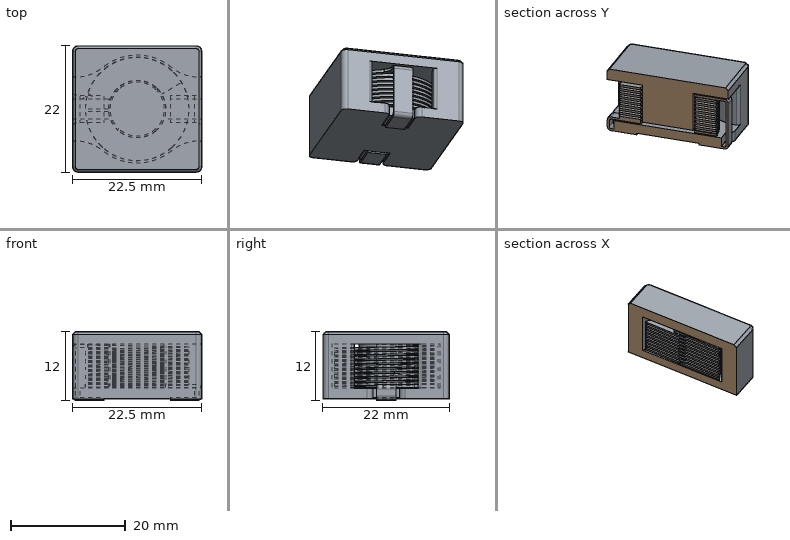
import cadquery as cq
import math

length_x = 22.5
width_y = 22.0
height = 12.0
corner_radius = 1.0
top_chamfer = 0.5
body_bottom = 0.3
base_top = 2.14

cavity_top = 9.8
cavity_radius = 9.4
opening_half_width = 5.54
opening_edge_radius = 0.5

post_diameter = 9.4
post_gap = 0.5

notch_half_width = 2.32
notch_depth = 1.25
notch_edge_radius = 1.0

wire_thickness = 0.5
roof_clearance = 0.07
floor_clearance = 0.11
coil_outer_radius = 9.0
coil_inner_radius = 5.0
coil_turns = 9
joint_overlap = 0.05
end_turn_tail = 0.45
terminal_width = 3.42
terminal_bend_radius = 0.79
lead_fillet_radius = 1.55
foot_length = 5.5

half_x = length_x / 2
coil_top = cavity_top - roof_clearance
coil_bottom = base_top + floor_clearance
end_turn_top = coil_bottom + wire_thickness
helix_start_top = end_turn_top + joint_overlap
helix_end_top = coil_top - joint_overlap
helix_height = helix_end_top - helix_start_top
end_turn_outer_radius = coil_outer_radius + joint_overlap
end_turn_inner_radius = coil_inner_radius - joint_overlap


def mirrored_in_x(shape):
    """The shape together with its mirror image on the other X side."""
    return shape.union(shape.mirror("YZ"))


def mid_arc_inset(radius):
    """Distance of a quarter arc's middle point from each of its two tangent lines."""
    return radius * (1 - math.sqrt(0.5))


def make_block():
    block = cq.Workplane("XY").workplane(offset=body_bottom).rect(length_x, width_y)
    block = block.extrude(height - body_bottom).edges("|Z").fillet(corner_radius)
    return block.faces(">Z").chamfer(top_chamfer)


def make_opening():
    """One -X opening, flaring towards the cavity and at the outer face."""
    edge_end = (-half_x + opening_edge_radius, opening_half_width)
    flare_radius = (edge_end[0] ** 2 + edge_end[1] ** 2 - cavity_radius ** 2) / (
        2 * (cavity_radius - opening_half_width)
    )
    flare_center_y = opening_half_width + flare_radius
    flare_center_x = edge_end[0]
    to_cavity = cavity_radius / (cavity_radius + flare_radius)
    flare_end = (flare_center_x * to_cavity, flare_center_y * to_cavity)
    toward_cavity = math.atan2(-flare_center_y, -flare_center_x)
    middle_angle = (toward_cavity - math.pi / 2) / 2
    flare_middle = (
        flare_center_x + flare_radius * math.cos(middle_angle),
        flare_center_y + flare_radius * math.sin(middle_angle),
    )
    edge_inset = mid_arc_inset(opening_edge_radius)
    edge_middle = (-half_x + edge_inset, opening_half_width + edge_inset)
    edge_start = (-half_x, opening_half_width + opening_edge_radius)

    def across(point):
        return (point[0], -point[1])

    outline = (
        cq.Workplane("XY").workplane(offset=base_top)
        .moveTo(*edge_start)
        .threePointArc(edge_middle, edge_end)
        .threePointArc(flare_middle, flare_end)
        .lineTo(*across(flare_end))
        .threePointArc(across(flare_middle), across(edge_end))
        .threePointArc(across(edge_middle), across(edge_start))
        .close()
    )
    return outline.extrude(cavity_top - base_top)


def make_cavity():
    round_part = cq.Workplane("XY").workplane(offset=base_top).circle(cavity_radius)
    round_part = round_part.extrude(cavity_top - base_top)
    return round_part.union(mirrored_in_x(make_opening()))


def make_post():
    post_bottom = base_top + post_gap
    post = cq.Workplane("XY").workplane(offset=post_bottom).circle(post_diameter / 2)
    return post.extrude(cavity_top - post_bottom)


def make_notch():
    """The -X notch through the base, and the shallow seat for the foot."""
    edge_start_y = notch_half_width + notch_edge_radius
    edge_inset = mid_arc_inset(notch_edge_radius)
    edge_middle = (-half_x + edge_inset, notch_half_width + edge_inset)
    edge_end_x = -half_x + notch_edge_radius
    notch_back_x = -half_x + notch_depth
    notch = (
        cq.Workplane("XY").workplane(offset=body_bottom)
        .moveTo(-half_x, edge_start_y)
        .threePointArc(edge_middle, (edge_end_x, notch_half_width))
        .lineTo(notch_back_x, notch_half_width)
        .lineTo(notch_back_x, -notch_half_width)
        .lineTo(edge_end_x, -notch_half_width)
        .threePointArc((edge_middle[0], -edge_middle[1]), (-half_x, -edge_start_y))
        .close()
        .extrude(base_top - body_bottom)
    )
    foot_seat = cq.Workplane("XY").box(
        foot_length, 2 * notch_half_width, wire_thickness, centered=(False, True, False)
    )
    return notch.union(foot_seat.translate((-half_x, 0, 0)))


def make_terminal(lead_top):
    """The -X terminal: foot, upright and a lead that joins the coil at lead_top."""
    foot_end = -half_x + foot_length
    inner_x = -half_x + wire_thickness
    lead_bottom = lead_top - wire_thickness
    strip = (
        cq.Workplane("XZ")
        .moveTo(foot_end, 0)
        .lineTo(-half_x, 0)
        .lineTo(-half_x, lead_top)
        .lineTo(-end_turn_inner_radius, lead_top)
        .lineTo(-end_turn_inner_radius, lead_bottom)
        .lineTo(inner_x, lead_bottom)
        .lineTo(inner_x, wire_thickness)
        .lineTo(foot_end, wire_thickness)
        .close()
        .extrude(terminal_width / 2, both=True)
    )
    strip = strip.edges("|Y and <X").fillet(terminal_bend_radius)
    corner_margin = wire_thickness / 4
    inner_corners = cq.selectors.BoxSelector(
        (inner_x - corner_margin, -terminal_width, 0),
        (inner_x + corner_margin, terminal_width, lead_top),
    )
    strip = strip.edges("|Y").edges(inner_corners).fillet(terminal_bend_radius - wire_thickness)
    return strip.union(make_lead_web(lead_bottom))


def make_lead_web(web_bottom):
    """Web that rounds the corner between the lead's +Y side and the coil."""
    center_y = terminal_width / 2 + lead_fillet_radius
    center_x = -math.sqrt((end_turn_outer_radius + lead_fillet_radius) ** 2 - center_y ** 2)
    to_coil = end_turn_outer_radius / (end_turn_outer_radius + lead_fillet_radius)
    coil_point = (center_x * to_coil, center_y * to_coil)
    web = (
        cq.Workplane("XY").workplane(offset=web_bottom)
        .moveTo(center_x, 0)
        .lineTo(center_x, center_y)
        .lineTo(*coil_point)
        .lineTo(-coil_inner_radius, 0)
        .close()
        .extrude(wire_thickness)
    )
    rounding = cq.Workplane("XY").workplane(offset=web_bottom).center(center_x, center_y)
    return web.cut(rounding.circle(lead_fillet_radius).extrude(wire_thickness))


def make_helical_turns():
    """Turns that start and end at -X and rise counterclockwise seen from +Z."""
    wire_width = coil_outer_radius - coil_inner_radius
    middle_radius = (coil_outer_radius + coil_inner_radius) / 2
    helix = cq.Wire.makeHelix(helix_height / coil_turns, helix_height, middle_radius)
    turns = cq.Workplane("XZ").center(middle_radius, 0).rect(wire_width, wire_thickness)
    turns = turns.sweep(cq.Workplane(helix), isFrenet=True)
    turns = turns.rotate((0, 0, 0), (0, 0, 1), 180)
    return turns.translate((0, 0, helix_start_top - wire_thickness / 2))


def make_end_half_turn():
    """Flat half turn that leads from the lowest helical turn at -X to the +X side."""
    return (
        cq.Workplane("XY").workplane(offset=coil_bottom)
        .moveTo(-end_turn_outer_radius, -end_turn_tail)
        .lineTo(-end_turn_outer_radius, 0)
        .threePointArc((0, end_turn_outer_radius), (end_turn_outer_radius, 0))
        .lineTo(end_turn_inner_radius, 0)
        .threePointArc((0, end_turn_inner_radius), (-end_turn_inner_radius, 0))
        .lineTo(-end_turn_inner_radius, -end_turn_tail)
        .close()
        .extrude(wire_thickness)
    )


housing = make_block().cut(make_cavity()).union(make_post()).cut(mirrored_in_x(make_notch()))
helical_turns = make_helical_turns()
end_half_turn = make_end_half_turn()
start_terminal = make_terminal(coil_top)
end_terminal = make_terminal(end_turn_top).mirror("YZ")
result = (
    housing.union(start_terminal)
    .union(end_terminal)
    .union(end_half_turn)
    .union(helical_turns)
)